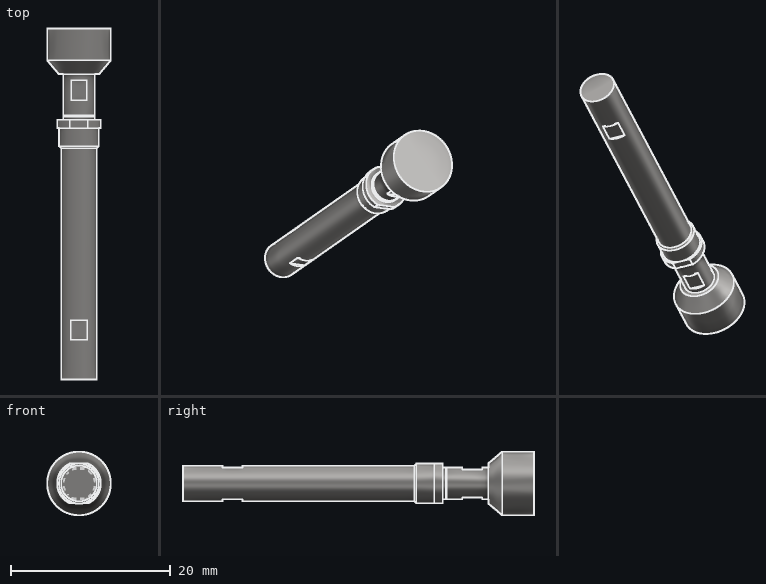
import cadquery as cq

LENGTH = 44.0

HEAD_DIAMETER = 8.0
CONE_END_DIAMETER = 5.1
NECK_DIAMETER = 4.0
COLLAR_DIAMETER = 5.5
SLEEVE_DIAMETER = 5.0
BODY_DIAMETER = 4.5

HEAD_LENGTH = 4.0
CONE_LENGTH = 1.7
NECK_LENGTH = 5.7
COLLAR_LENGTH = 1.05
SLEEVE_LENGTH = 2.5
SLEEVE_CHAMFER = (SLEEVE_DIAMETER - BODY_DIAMETER) / 2

GROOVE_DEPTH = 0.1
GROOVE_TO_COLLAR = 0.45

FLAT_LENGTH = 2.45
NECK_FLAT_OFFSET = 0.8
NECK_ACROSS_FLATS = 3.5
TIP_FLAT_START = 4.95
TIP_ACROSS_FLATS = 4.0
COLLAR_ACROSS_FLATS = SLEEVE_DIAMETER

HEAD_FRONT = LENGTH - HEAD_LENGTH
CONE_FRONT = HEAD_FRONT - CONE_LENGTH
COLLAR_BACK = CONE_FRONT - NECK_LENGTH
COLLAR_FRONT = COLLAR_BACK - COLLAR_LENGTH
SLEEVE_FRONT = COLLAR_FRONT - SLEEVE_LENGTH
GROOVE_CENTER = COLLAR_BACK + GROOVE_TO_COLLAR


def turned_pin():
    """Revolve the stepped half-outline about the Y axis."""
    neck_radius = NECK_DIAMETER / 2
    half_outline = [
        (0, 0),
        (BODY_DIAMETER / 2, 0),
        (BODY_DIAMETER / 2, SLEEVE_FRONT),
        (SLEEVE_DIAMETER / 2, SLEEVE_FRONT + SLEEVE_CHAMFER),
        (SLEEVE_DIAMETER / 2, COLLAR_FRONT),
        (COLLAR_DIAMETER / 2, COLLAR_FRONT),
        (COLLAR_DIAMETER / 2, COLLAR_BACK),
        (neck_radius, COLLAR_BACK),
        (neck_radius, GROOVE_CENTER - GROOVE_DEPTH),
        (neck_radius - GROOVE_DEPTH, GROOVE_CENTER),
        (neck_radius, GROOVE_CENTER + GROOVE_DEPTH),
        (neck_radius, CONE_FRONT),
        (CONE_END_DIAMETER / 2, CONE_FRONT),
        (HEAD_DIAMETER / 2, HEAD_FRONT),
        (HEAD_DIAMETER / 2, LENGTH),
        (0, LENGTH),
    ]
    return cq.Workplane("XY").polyline(half_outline).close().revolve(360, (0, 0, 0), (0, 1, 0))


def flat_pair_cutter(y_start, length, across_flats):
    """Two blocks that leave parallel flats facing +Z and -Z."""
    size = HEAD_DIAMETER
    blocks = cq.Workplane("XY")
    for side in (1, -1):
        center = (0, y_start + length / 2, side * (across_flats + size) / 2)
        blocks = blocks.add(cq.Workplane("XY").box(size, length, size).translate(center))
    return blocks.combine()


neck_flat_start = CONE_FRONT - NECK_FLAT_OFFSET - FLAT_LENGTH

result = (
    turned_pin()
    .cut(flat_pair_cutter(neck_flat_start, FLAT_LENGTH, NECK_ACROSS_FLATS))
    .cut(flat_pair_cutter(TIP_FLAT_START, FLAT_LENGTH, TIP_ACROSS_FLATS))
    .cut(flat_pair_cutter(COLLAR_FRONT, COLLAR_LENGTH, COLLAR_ACROSS_FLATS))
)